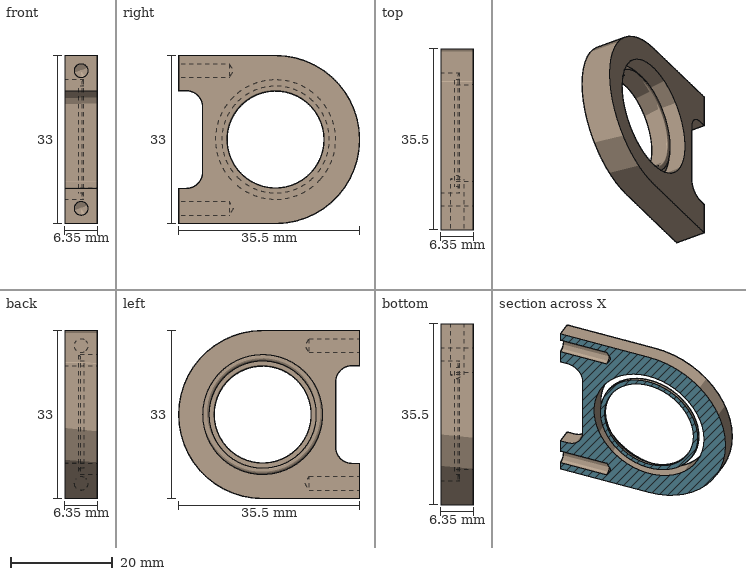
import cadquery as cq
import math

thickness = 6.35
length = 35.55
height = 33.05
end_radius = height / 2
foot_face_y = end_radius - length

bore_radius = 9.5
seat_radius = 11.77
lip_radius = 10.53
lip_depth = 2.63
seat_depth = 3.65
bead_height = 0.35
bore_edge_radius = 0.25

relief_depth = 4.7
relief_half_height = 9.55
relief_corner_radius = 3.15

screw_radius = 1.35
screw_offset_z = 13.5
screw_depth = 9.95
drill_tip_angle = 118.0


def plate():
    """Plate with a full round end, centred on X = 0."""
    return (
        cq.Workplane("YZ", origin=(-thickness / 2, 0, 0))
        .moveTo(foot_face_y, -end_radius)
        .lineTo(0, -end_radius)
        .threePointArc((end_radius, 0), (0, end_radius))
        .lineTo(foot_face_y, end_radius)
        .close()
        .extrude(thickness)
    )


def stepped_bore():
    """Cutter for the bore and its seat, which opens at -X, revolved about X.

    The bore ends in a raised lip with rounded edges. A shallow rounded bead
    fills the seat floor between the lip and the seat wall.
    """
    open_x = -thickness / 2
    back_x = thickness / 2
    lip_x = open_x + lip_depth
    floor_x = open_x + seat_depth
    bead_centre_radius = (seat_radius + lip_radius) / 2
    edge_radius = bore_radius + bore_edge_radius
    edge_inset = bore_edge_radius * (1 - math.sqrt(0.5))
    return (
        cq.Workplane("XY")
        .moveTo(open_x, 0)
        .lineTo(open_x, seat_radius)
        .lineTo(floor_x, seat_radius)
        .threePointArc((floor_x - bead_height, bead_centre_radius), (floor_x, lip_radius))
        .lineTo(lip_x, lip_radius)
        .lineTo(lip_x, edge_radius)
        .threePointArc(
            (lip_x + edge_inset, bore_radius + edge_inset),
            (lip_x + bore_edge_radius, bore_radius),
        )
        .lineTo(back_x - bore_edge_radius, bore_radius)
        .threePointArc((back_x - edge_inset, bore_radius + edge_inset), (back_x, edge_radius))
        .lineTo(back_x, 0)
        .close()
        .revolve(360, (0, 0, 0), (1, 0, 0))
    )


def foot_relief():
    """Slot between the feet with rounded inner corners."""
    return (
        cq.Workplane("XY")
        .box(thickness, relief_depth, 2 * relief_half_height)
        .edges("|X and >Y")
        .fillet(relief_corner_radius)
        .translate((0, foot_face_y + relief_depth / 2, 0))
    )


def screw_hole(z):
    """Drilled hole with a conical tip, entering a foot face along +Y."""
    tip_length = screw_radius / math.tan(math.radians(drill_tip_angle / 2))
    return (
        cq.Workplane("XY", origin=(0, foot_face_y, z))
        .lineTo(screw_radius, 0)
        .lineTo(screw_radius, screw_depth)
        .lineTo(0, screw_depth + tip_length)
        .close()
        .revolve(360, (0, 0, 0), (0, 1, 0))
    )


result = plate().cut(stepped_bore()).cut(foot_relief())
for side in (-1, 1):
    result = result.cut(screw_hole(side * screw_offset_z))